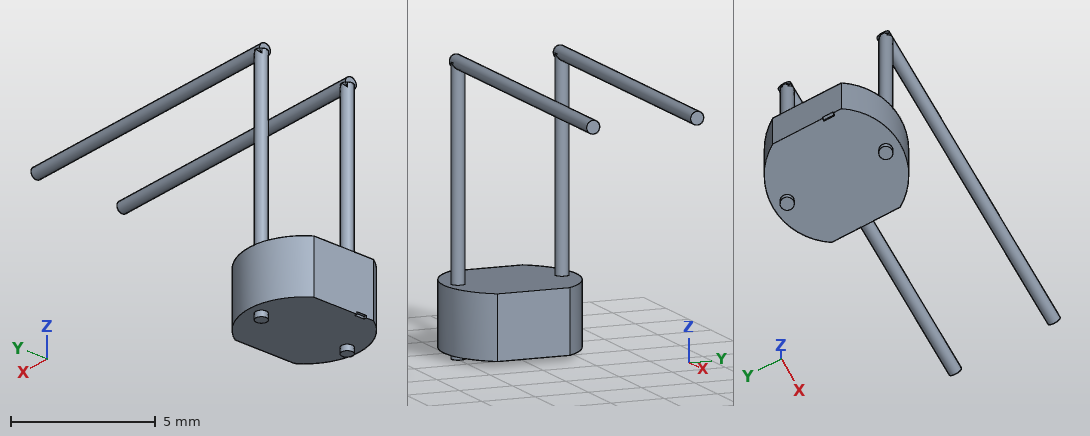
import cadquery as cq

overall_length = 14.1
overall_height = 10.75

housing_diameter = 5.0
housing_width = 4.2
housing_height = 2.4

notch_width = 0.42
notch_depth = 0.11
notch_height = 0.1
notch_centre_y = -0.82

wire_diameter = 0.5
wire_spacing = 3.9
post_protrusion = 0.25
arm_setback = 0.05

wire_radius = wire_diameter / 2
flat_x = -housing_width / 2
post_bottom_z = -post_protrusion
arm_axis_z = post_bottom_z + overall_height - wire_radius
arm_start_x = -wire_radius + arm_setback
arm_end_x = flat_x + overall_length
wire_positions_y = [-wire_spacing / 2, wire_spacing / 2]


def make_wire_post(y):
    """Upright wire that ends level with the axis of the arm."""
    return (
        cq.Workplane("XY", origin=(0, y, post_bottom_z))
        .circle(wire_radius)
        .extrude(arm_axis_z - post_bottom_z)
    )


def make_wire_arm(y):
    """Horizontal wire running from the top of the post toward +X."""
    return (
        cq.Workplane("YZ", origin=(arm_start_x, y, arm_axis_z))
        .circle(wire_radius)
        .extrude(arm_end_x - arm_start_x)
    )


def make_housing():
    """Double-flatted disc with an edge notch and a hole for each post."""
    flats = cq.Workplane("XY").rect(housing_width, housing_diameter).extrude(housing_height)
    body = cq.Workplane("XY").circle(housing_diameter / 2).extrude(housing_height).intersect(flats)
    notch = (
        cq.Workplane("XY", origin=(flat_x, notch_centre_y, 0))
        .box(notch_depth, notch_width, notch_height, centered=(False, True, False))
    )
    body = body.cut(notch)
    for y in wire_positions_y:
        body = body.cut(make_wire_post(y))
    return body


housing = make_housing()
posts = []
arms = []
for wire_y in wire_positions_y:
    post = make_wire_post(wire_y)
    arm = make_wire_arm(wire_y).cut(post)
    posts.append(post.val())
    arms.append(arm.val())

result = cq.Compound.makeCompound([housing.val(), *posts, *arms])